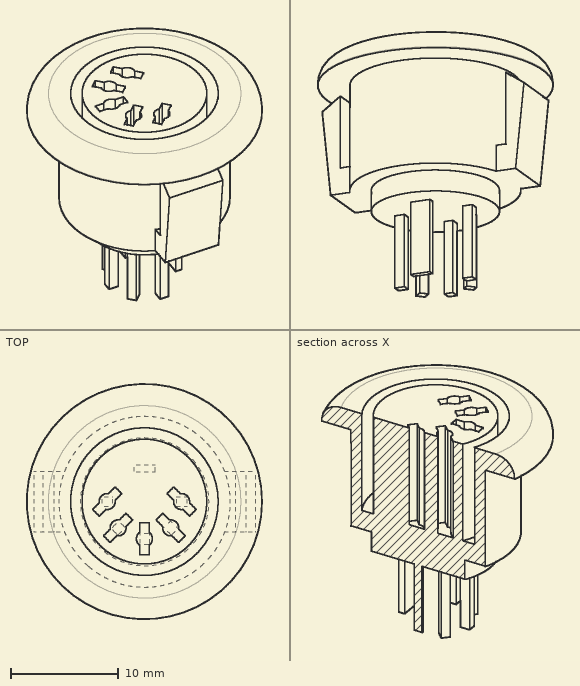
import cadquery as cq
import math

total_height = 21.7
plug_bottom = 7.13
body_bottom = 9.2
flange_height = 2.13
edge_round = 2.0

flange_diameter = 22
body_diameter = 16.0
groove_outer_diameter = 13.8
core_diameter = 11.65
plug_diameter = 12.0

floor_thickness = 2.07
cavity_floor = body_bottom + floor_thickness
cavity_depth = total_height - cavity_floor

contact_radius = 3.48
contact_angles = (180, 225, 270, 315, 360)
socket_diameter = 1.5
slot_length = 2.97
slot_width = 0.88
pin_radial_depth = 1.0
pin_width = 0.88
tab_width = 1.98
tab_thickness = 0.65
tab_y = 3.1

clip_width = 5.63
clip_arm_inner_x = 8.47
clip_base_outer_x = 9.48
clip_knee_x = 10.35
clip_knee_height = 17.53
clip_tip_height = 18.83
clip_foot_top = 11.75


def cylinder(diameter, bottom, top):
    return cq.Workplane("XY").workplane(offset=bottom).circle(diameter / 2).extrude(top - bottom)


def make_housing():
    """Rounded flange, body and plug, with a ring groove around the core."""
    flange = cylinder(flange_diameter, total_height - flange_height, total_height)
    flange = flange.faces(">Z").edges().fillet(edge_round)
    body = cylinder(body_diameter, body_bottom, total_height - flange_height)
    plug = cylinder(plug_diameter, plug_bottom, body_bottom)
    groove = cylinder(groove_outer_diameter, cavity_floor, total_height)
    groove = groove.cut(cylinder(core_diameter, cavity_floor, total_height))
    return flange.union(body).union(plug).cut(groove)


def make_clip():
    """Snap arm on the +X side, rooted where its sides meet the round body."""
    foot_inner_x = math.sqrt((body_diameter / 2) ** 2 - (clip_width / 2) ** 2)
    outline = [
        (foot_inner_x, body_bottom),
        (clip_base_outer_x, body_bottom),
        (clip_knee_x, clip_knee_height),
        (clip_arm_inner_x, clip_tip_height),
        (clip_arm_inner_x, clip_foot_top),
        (foot_inner_x, clip_foot_top),
    ]
    return cq.Workplane("XZ").polyline(outline).close().extrude(clip_width / 2, both=True)


def contact_position(angle):
    radians = math.radians(angle)
    return contact_radius * math.cos(radians), contact_radius * math.sin(radians)


def slot_direction(angle):
    """The outer slots stay parallel to their diagonal neighbours."""
    return min(max(angle, 225), 315)


def make_socket(angle):
    """Round contact hole crossed by a rectangular slot."""
    base = cq.Workplane("XY", origin=(*contact_position(angle), cavity_floor))
    hole = base.circle(socket_diameter / 2).extrude(cavity_depth)
    slot = base.transformed(rotate=(0, 0, slot_direction(angle)))
    return hole.union(slot.rect(slot_length, slot_width).extrude(cavity_depth))


def make_pin(angle):
    """Rectangular solder pin, turned to point away from the axis."""
    base = cq.Workplane("XY", origin=(*contact_position(angle), 0))
    base = base.transformed(rotate=(0, 0, angle))
    return base.rect(pin_radial_depth, pin_width).extrude(plug_bottom)


result = make_housing()

clip = make_clip()
result = result.union(clip).union(clip.mirror("YZ"))

for contact_angle in contact_angles:
    result = result.cut(make_socket(contact_angle))
    result = result.union(make_pin(contact_angle))

ground_tab = cq.Workplane("XY").center(0, tab_y).rect(tab_width, tab_thickness).extrude(plug_bottom)
result = result.union(ground_tab)